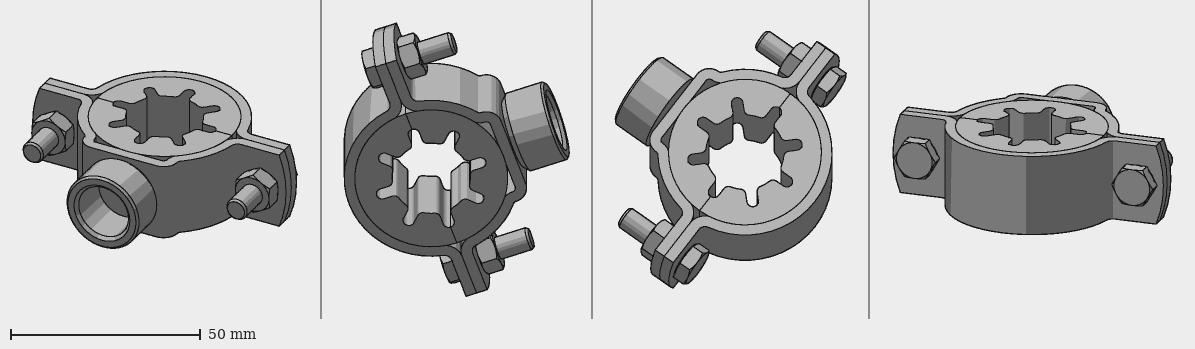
import cadquery as cq
import math

overall_length = 75.8
width = 22.0
strap_inner_radius = 20.0
strap_thickness = 2.95
ear_end_bulge = 2.05
ear_bend_radius = 2.0
seat_bend_radius = 1.1

liner_seat_depth = 0.15
bore_radius = 10.3
slot_count = 8
slot_tip_radius = 15.25
slot_width = 3.0
tooth_corner_radius = 1.5

boss_radius = 10.8
boss_length = 12.05
boss_weld_chamfer = 1.5
boss_mouth_chamfer = 0.6
boss_bore_radius = 7.4
boss_countersink = 0.9

bolt_offset = 30.5
bolt_radius = 3.0
bolt_tip_y = -17.1
bolt_tip_chamfer_length = 0.7
bolt_tip_chamfer_depth = 0.45
hex_across_flats = 10.0
hex_chamfer_angle = 30
head_turn = 0
nut_turn = 30
head_height = 3.95
washer_face_height = 0.2
nut_height = 5.0

half_length = overall_length / 2
half_width = width / 2
ring_radius = strap_inner_radius + strap_thickness
liner_radius = strap_inner_radius + liner_seat_depth
hex_corner_radius = hex_across_flats / 2 / math.cos(math.pi / 6)

ear_wide_radius = ear_bend_radius + strap_thickness
ear_bend_y = ear_wide_radius
ear_bend_x = math.sqrt((ring_radius + ear_bend_radius) ** 2 - ear_bend_y**2)
ear_bend_angle = math.atan2(ear_bend_y, ear_bend_x)

seat_wide_radius = seat_bend_radius + strap_thickness
seat_bend_y = seat_bend_radius - strap_inner_radius
neck_bend_x = math.sqrt((ring_radius + seat_bend_radius) ** 2 - seat_bend_y**2)
neck_bend_angle = math.atan2(-seat_bend_y, neck_bend_x)
corner_bend_x = neck_bend_x - seat_bend_radius - seat_wide_radius


def polar(radius, angle, center=(0, 0)):
    """Point at a radius and an angle in radians around a center."""
    return (center[0] + radius * math.cos(angle), center[1] + radius * math.sin(angle))


def prism(outline):
    """Solid over the full width from a closed outline."""
    return outline.extrude(half_width, both=True)


def half_block(side):
    """Block that fills everything on one side (+1 or -1) of the parting plane."""
    block = cq.Workplane("XY").box(2 * overall_length, overall_length, 2 * width)
    return block.translate((0, side * half_length, 0))


def ear_arm(side):
    """Ear at +X with the bend that joins it to the ring, at y of the given sign."""
    center = (ear_bend_x, ear_bend_y)
    end_angle = math.pi + ear_bend_angle
    middle_angle = (end_angle + 1.5 * math.pi) / 2
    outline = (
        cq.Workplane("XY")
        .moveTo(half_length, 0)
        .lineTo(ear_bend_x, 0)
        .threePointArc(
            polar(ear_wide_radius, middle_angle, center),
            polar(ear_wide_radius, end_angle, center),
        )
        .lineTo(*polar(ear_bend_radius, end_angle, center))
        .threePointArc(
            polar(ear_bend_radius, middle_angle, center),
            (ear_bend_x, strap_thickness),
        )
        .lineTo(half_length, strap_thickness)
        .close()
    )
    arm = prism(outline)
    if side < 0:
        arm = arm.mirror("XZ")
    return arm


def ear_end_trim():
    """Plate, seen along Y, whose two ends carry the rounding of the ears."""
    corner_x = half_length - ear_end_bulge
    outline = (
        cq.Workplane("XZ")
        .moveTo(-corner_x, -half_width)
        .lineTo(corner_x, -half_width)
        .threePointArc((half_length, 0), (corner_x, half_width))
        .lineTo(-corner_x, half_width)
        .threePointArc((-half_length, 0), (-corner_x, -half_width))
        .close()
    )
    return outline.extrude(overall_length, both=True)


def bolt_holes():
    """Cutter for the holes through both ears."""
    return (
        cq.Workplane("XZ")
        .pushPoints([(-bolt_offset, 0), (bolt_offset, 0)])
        .circle(bolt_radius)
        .extrude(overall_length, both=True)
    )


def ring_segment(start_angle, end_angle):
    """Part of the ring between two angles."""
    middle_angle = (start_angle + end_angle) / 2
    outline = (
        cq.Workplane("XY")
        .moveTo(*polar(strap_inner_radius, start_angle))
        .threePointArc(polar(strap_inner_radius, middle_angle), polar(strap_inner_radius, end_angle))
        .lineTo(*polar(ring_radius, end_angle))
        .threePointArc(polar(ring_radius, middle_angle), polar(ring_radius, start_angle))
        .close()
    )
    return prism(outline)


def liner_disc():
    return prism(cq.Workplane("XY").circle(liner_radius))


def finish_strap(blank):
    """Round the ear ends, drill the ears and sink in the seat of the liner."""
    return blank.intersect(ear_end_trim()).cut(bolt_holes()).cut(liner_disc())


def make_plain_strap():
    arm = ear_arm(1)
    ring = ring_segment(ear_bend_angle, math.pi - ear_bend_angle)
    return finish_strap(ring.union(arm).union(arm.mirror("YZ")))


def seat_arm():
    """Neck bend, corner bend and half of the flat boss seat, at +X."""
    neck = (neck_bend_x, seat_bend_y)
    corner = (corner_bend_x, seat_bend_y)
    neck_start = math.pi - neck_bend_angle
    neck_middle = (neck_start + math.pi) / 2
    corner_middle = -math.pi / 4
    outline = (
        cq.Workplane("XY")
        .moveTo(*polar(seat_bend_radius, neck_start, neck))
        .threePointArc(
            polar(seat_bend_radius, neck_middle, neck),
            polar(seat_bend_radius, math.pi, neck),
        )
        .threePointArc(
            polar(seat_wide_radius, corner_middle, corner),
            (corner_bend_x, -ring_radius),
        )
        .lineTo(0, -ring_radius)
        .lineTo(0, -strap_inner_radius)
        .lineTo(corner_bend_x, -strap_inner_radius)
        .threePointArc(
            polar(seat_bend_radius, corner_middle, corner),
            polar(seat_bend_radius, 0, corner),
        )
        .threePointArc(
            polar(seat_wide_radius, neck_middle, neck),
            polar(seat_wide_radius, neck_start, neck),
        )
        .close()
    )
    return prism(outline)


def make_seat_strap():
    ring = ring_segment(-neck_bend_angle, -ear_bend_angle)
    half = ring.union(ear_arm(-1)).union(seat_arm())
    return finish_strap(half.union(half.mirror("YZ")))


def liner_opening():
    """Bore with radial slots; the corners where they meet are rounded."""
    opening = prism(cq.Workplane("XY").circle(bore_radius))
    slot_length = slot_tip_radius + slot_width / 2
    slot = prism(cq.Workplane("XY").slot2D(slot_length, slot_width))
    slot = slot.translate((slot_tip_radius - slot_length / 2, 0, 0))
    for index in range(slot_count):
        turn = index * 360 / slot_count
        opening = opening.union(slot.rotate((0, 0, 0), (0, 0, 1), turn))
    corner_zone = cq.selectors.BoxSelector(
        (-bore_radius, -bore_radius, -width),
        (bore_radius, bore_radius, width),
    )
    return opening.edges("|Z").edges(corner_zone).fillet(tooth_corner_radius)


def make_liner_half(side):
    return liner_disc().cut(liner_opening()).intersect(half_block(side))


def make_boss():
    """Turned sleeve standing on the seat, with its axis along -Y."""
    seat_y = -ring_radius
    mouth_y = seat_y - boss_length
    profile = (
        cq.Workplane("XY")
        .moveTo(boss_bore_radius, seat_y)
        .lineTo(boss_radius - boss_weld_chamfer, seat_y)
        .lineTo(boss_radius, seat_y - boss_weld_chamfer)
        .lineTo(boss_radius, mouth_y + boss_mouth_chamfer)
        .lineTo(boss_radius - boss_mouth_chamfer, mouth_y)
        .lineTo(boss_bore_radius + boss_countersink, mouth_y)
        .lineTo(boss_bore_radius, mouth_y + boss_countersink)
        .close()
    )
    return profile.revolve(360, (0, 0, 0), (0, 1, 0))


def hexagon(height, turn):
    """Hexagonal prism on the XZ plane, rising along +Y, turned about Y by an angle."""
    blank = cq.Workplane("XZ").polygon(6, 2 * hex_corner_radius).extrude(-height)
    return blank.rotate((0, 0, 0), (0, 1, 0), turn)


def corner_cone(height):
    """Turned envelope along +Y that bevels the corners of a hexagon at its far end."""
    flat_radius = hex_across_flats / 2
    slope = math.tan(math.radians(hex_chamfer_angle))
    bevel_depth = (hex_corner_radius - flat_radius) * slope
    profile = (
        cq.Workplane("XY")
        .lineTo(hex_corner_radius, 0)
        .lineTo(hex_corner_radius, height - bevel_depth)
        .lineTo(flat_radius, height)
        .lineTo(0, height)
        .close()
    )
    return profile.revolve(360, (0, 0, 0), (0, 1, 0))


def make_bolt(x):
    hex_height = head_height - washer_face_height
    head = hexagon(hex_height, head_turn).intersect(corner_cone(hex_height))
    head = head.translate((0, strap_thickness + washer_face_height, 0))
    washer_face = cq.Workplane("XZ").circle(hex_across_flats / 2).extrude(-washer_face_height)
    washer_face = washer_face.translate((0, strap_thickness, 0))
    chamfer_y = bolt_tip_y + bolt_tip_chamfer_length
    shank = (
        cq.Workplane("XY")
        .moveTo(0, strap_thickness)
        .lineTo(bolt_radius, strap_thickness)
        .lineTo(bolt_radius, chamfer_y)
        .lineTo(bolt_radius - bolt_tip_chamfer_depth, bolt_tip_y)
        .lineTo(0, bolt_tip_y)
        .close()
        .revolve(360, (0, 0, 0), (0, 1, 0))
    )
    return head.union(washer_face).union(shank).translate((x, 0, 0))


def make_nut(x):
    far_bevel = corner_cone(nut_height)
    near_bevel = far_bevel.mirror("XZ").translate((0, nut_height, 0))
    blank = hexagon(nut_height, nut_turn).intersect(far_bevel).intersect(near_bevel)
    hole = cq.Workplane("XZ").circle(bolt_radius).extrude(-nut_height)
    return blank.cut(hole).translate((x, -strap_thickness - nut_height, 0))


plain_strap = make_plain_strap()
seat_strap = make_seat_strap()
boss = make_boss()
liner_halves = []
for side in (1, -1):
    liner_halves.append(make_liner_half(side).val())
bolts = []
nuts = []
for x in (-bolt_offset, bolt_offset):
    bolts.append(make_bolt(x).val())
    nuts.append(make_nut(x).val())

result = cq.Compound.makeCompound(
    [plain_strap.val(), seat_strap.val(), boss.val(), *liner_halves, *bolts, *nuts]
)